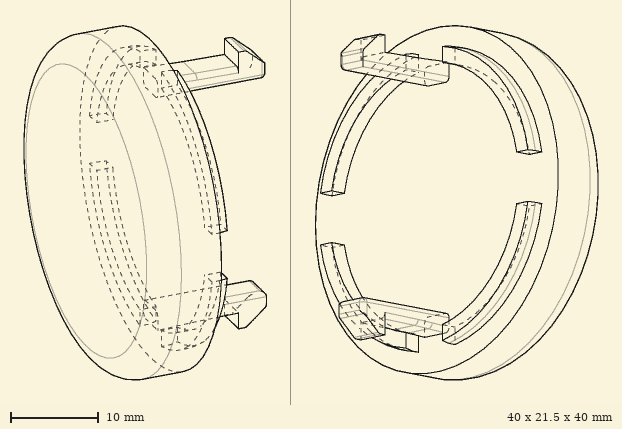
import cadquery as cq

cap_radius = 20.0
cap_depth = 8.0
cap_edge_radius = 3.0

ring_outer_radius = 17.5
ring_inner_radius = 15.5
ring_height = 2.0
ring_lead_in_height = 1.0
ring_lead_in_inset = 0.2
ring_gap_width = 6.0

clip_width = 4.0
clip_tip_y = 21.5
clip_inner_z = 13.4
clip_edge_radius = 0.6
hook_length = 3.5
hook_flat_length = 0.9
hook_top_z = 17.4
hook_nose_z = 15.2
arm_z_at_hook = 15.4
arm_first_bend = (12.9, 15.5)
arm_second_bend = (10.7, 15.55)
arm_z_at_cap = 15.7

hook_catch_y = clip_tip_y - hook_length
ring_back_y = cap_depth + ring_height


def make_cap():
    disc = cq.Workplane("XZ").circle(cap_radius).extrude(-cap_depth)
    return disc.faces("<Y").edges().fillet(cap_edge_radius)


def make_ring():
    lead_in_y = ring_back_y - ring_lead_in_height
    ring = (
        cq.Workplane("XY")
        .moveTo(ring_inner_radius, cap_depth)
        .lineTo(ring_outer_radius, cap_depth)
        .lineTo(ring_outer_radius, lead_in_y)
        .lineTo(ring_outer_radius - ring_lead_in_inset, ring_back_y)
        .lineTo(ring_inner_radius, ring_back_y)
        .close()
        .revolve(360, (0, 0, 0), (0, 1, 0))
    )
    ring_middle_y = cap_depth + ring_height / 2
    gap = cq.Workplane("XY").box(2 * cap_radius, ring_height, ring_gap_width)
    gap = gap.translate((0, ring_middle_y, 0))
    return ring.cut(gap).cut(gap.rotate((0, 0, 0), (0, 1, 0), 90))


def edges_near(clip, *points):
    """Select the clip edges that lie closest to the given points."""
    selected = clip.edges(cq.NearestToPointSelector(points[0]))
    for point in points[1:]:
        selected = selected.add(clip.edges(cq.NearestToPointSelector(point)))
    return selected


def make_clip():
    """Clip at +Z, with its hook pointing outwards."""
    side_x = clip_width / 2
    hook_ramp_y = hook_catch_y + hook_flat_length
    outer_arm = [
        (hook_catch_y, arm_z_at_hook),
        arm_first_bend,
        arm_second_bend,
        (cap_depth, arm_z_at_cap),
    ]
    profile = [
        (cap_depth, clip_inner_z),
        (clip_tip_y, clip_inner_z),
        (clip_tip_y, hook_nose_z),
        (hook_ramp_y, hook_top_z),
        (hook_catch_y, hook_top_z),
    ] + outer_arm
    clip = cq.Workplane("YZ").polyline(profile).close().extrude(side_x, both=True)

    clip = edges_near(
        clip, (0, clip_tip_y, hook_nose_z), (0, hook_ramp_y, hook_top_z)
    ).fillet(clip_edge_radius)

    clip_length = clip_tip_y - cap_depth
    clip_middle_y = cap_depth + clip_length / 2
    rounded_bar = (
        cq.Workplane("XY")
        .box(clip_width, clip_length, 2 * hook_top_z)
        .edges("|Z and >X and >Y")
        .fillet(clip_edge_radius)
        .translate((0, clip_middle_y, 0))
    )
    clip = clip.intersect(rounded_bar)

    clip = edges_near(
        clip,
        (side_x, clip_middle_y, clip_inner_z),
        (-side_x, clip_middle_y, clip_inner_z),
        (0, clip_tip_y, clip_inner_z),
    ).fillet(clip_edge_radius)

    arm_middles = [
        (side_x, (y1 + y2) / 2, (z1 + z2) / 2)
        for (y1, z1), (y2, z2) in zip(outer_arm, outer_arm[1:])
    ]
    return edges_near(clip, *arm_middles).fillet(clip_edge_radius)


upper_clip = make_clip()
lower_clip = upper_clip.rotate((0, 0, 0), (0, 1, 0), 180)

result = make_cap().union(make_ring()).union(upper_clip).union(lower_clip)